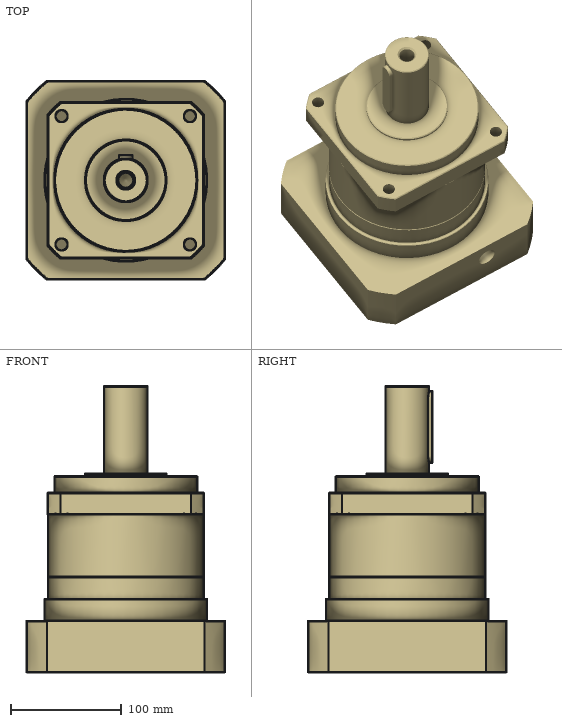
import cadquery as cq
import math

total_height = 260.5
base_top = 47.0
collar_top = 67.0
ring_top = 87.0
barrel_top = 144.3
flange_top = 163.5
pilot_top = 178.5
seal_top = 181.0

base_side = 180.0
base_corner_diameter = 230.0
collar_diameter = 148.0
ring_diameter = 142.0

access_diameter = 17.0
access_y = -27.4
access_z = 29.7
access_end_diameter = 72.0

barrel_diameter = ring_diameter
flange_side = ring_diameter
flange_corner_diameter = 185.0
pilot_diameter = 130.0
seal_diameter = 74.0
shaft_diameter = 39.9

flange_hole_diameter = 11.0
bolt_circle_diameter = 165.0

centre_hole_diameter = 13.8
centre_hole_depth = 36.0
centre_mouth_diameter = 17.0
drill_point_angle = 118.0

key_width = 12.0
key_height = 8.0
key_length = 65.0
key_top_gap = 4.7
key_outer_y = 23.0

edge_chamfer = 0.8
step_chamfer = 0.5
key_chamfer = 0.5


def disc(diameter, bottom, top):
    """Cylinder about the Z axis between two heights."""
    return cq.Workplane("XY").workplane(offset=bottom).circle(diameter / 2).extrude(top - bottom)


def turned_square(side, corner_diameter, bottom, top):
    """Square plate whose corners are cut back to a cylinder about the Z axis."""
    plate = cq.Workplane("XY").workplane(offset=bottom).rect(side, side).extrude(top - bottom)
    return plate.intersect(disc(corner_diameter, bottom, top))


def make_adapter():
    """Base, collar and ring in one body, with the access hole in the -X side."""
    base = turned_square(base_side, base_corner_diameter, 0, base_top)
    base = base.faces("<Z").chamfer(edge_chamfer)
    collar = disc(collar_diameter, base_top, collar_top)
    collar = collar.faces("<Z or >Z").chamfer(step_chamfer)
    ring = disc(ring_diameter, collar_top, ring_top).faces(">Z").chamfer(edge_chamfer)

    access_hole = (
        cq.Workplane("YZ")
        .workplane(offset=-base_side / 2)
        .center(access_y, access_z)
        .circle(access_diameter / 2)
        .extrude(base_side / 2)
        .cut(disc(access_end_diameter, 0, base_top))
    )
    return base.union(collar).union(ring).cut(access_hole)


def make_key_blank():
    """Key with sharp edges, which is also the shape of its keyway."""
    key_middle_z = total_height - key_top_gap - key_length / 2
    return (
        cq.Workplane("XZ", origin=(0, key_outer_y, key_middle_z))
        .slot2D(key_length, key_width, 90)
        .extrude(key_height)
    )


def make_centre_hole():
    """Drilled hole with a conical mouth and a drill point, opening at the shaft end."""
    radius = centre_hole_diameter / 2
    mouth_radius = centre_mouth_diameter / 2
    wall_bottom = total_height - centre_hole_depth
    mouth_bottom = total_height - (mouth_radius - radius)
    point_bottom = wall_bottom - radius / math.tan(math.radians(drill_point_angle / 2))
    return (
        cq.Workplane("XZ")
        .moveTo(0, total_height)
        .lineTo(mouth_radius, total_height)
        .lineTo(radius, mouth_bottom)
        .lineTo(radius, wall_bottom)
        .lineTo(0, point_bottom)
        .close()
        .revolve(360, (0, 0, 0), (0, 1, 0))
    )


def make_flange():
    """Square mounting flange with a bolt hole in each corner."""
    flange = turned_square(flange_side, flange_corner_diameter, barrel_top, flange_top)
    flange = flange.faces(">Z").chamfer(edge_chamfer)
    hole_spacing = bolt_circle_diameter / math.sqrt(2)
    bolt_holes = (
        cq.Workplane("XY")
        .workplane(offset=barrel_top)
        .rect(hole_spacing, hole_spacing, forConstruction=True)
        .vertices()
        .circle(flange_hole_diameter / 2)
        .extrude(flange_top - barrel_top)
    )
    return flange.cut(bolt_holes)


def make_gearbox(keyway):
    """Barrel, flange, pilot, seal cover and shaft in one body, with the keyway cut."""
    barrel = disc(barrel_diameter, ring_top, barrel_top)
    barrel = barrel.faces("<Z or >Z").chamfer(step_chamfer)
    pilot = disc(pilot_diameter, flange_top, pilot_top).faces(">Z").chamfer(edge_chamfer)
    seal_cover = disc(seal_diameter, pilot_top, seal_top).faces(">Z").chamfer(edge_chamfer)
    shaft = disc(shaft_diameter, seal_top, total_height).faces(">Z").chamfer(edge_chamfer)
    body = barrel.union(make_flange()).union(pilot).union(seal_cover).union(shaft)
    return body.cut(make_centre_hole()).cut(keyway)


key_blank = make_key_blank()
adapter = make_adapter()
gearbox = make_gearbox(key_blank)
key = key_blank.faces(">Y").chamfer(key_chamfer)

result = cq.Compound.makeCompound([adapter.val(), gearbox.val(), key.val()])